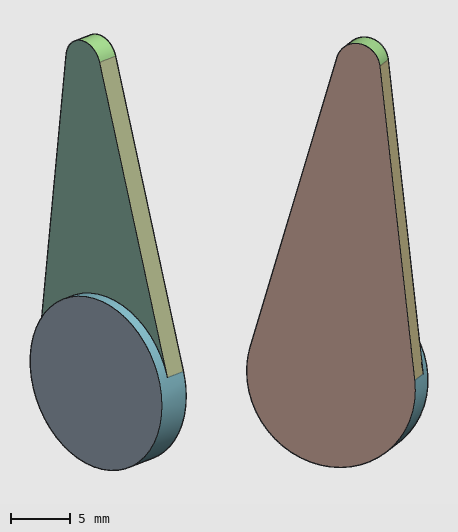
import cadquery as cq
import math

total_height = 37.48
total_thickness = 3.0
disc_diameter = 15.18
arm_thickness = 2.0
tip_radius = 2.0
tip_x = -2.45

disc_radius = disc_diameter / 2
tip_z = total_height - disc_radius - tip_radius

center_distance = math.hypot(tip_x, tip_z)
arm_angle = math.atan2(tip_z, tip_x)
tangent_offset = math.acos((disc_radius - tip_radius) / center_distance)
left_angle = arm_angle + tangent_offset
right_angle = arm_angle - tangent_offset


def point_on_circle(center_x, center_z, radius, angle):
    return (center_x + radius * math.cos(angle), center_z + radius * math.sin(angle))


def make_arm():
    """Tapered arm from the disc axis to a small round tip, with sides tangent to the disc."""
    return (
        cq.Workplane("XZ")
        .moveTo(*point_on_circle(0, 0, disc_radius, left_angle))
        .lineTo(*point_on_circle(tip_x, tip_z, tip_radius, left_angle))
        .threePointArc(
            point_on_circle(tip_x, tip_z, tip_radius, arm_angle),
            point_on_circle(tip_x, tip_z, tip_radius, right_angle),
        )
        .lineTo(*point_on_circle(0, 0, disc_radius, right_angle))
        .lineTo(0, 0)
        .close()
        .extrude(arm_thickness)
    )


def make_disc():
    """Full-thickness round hub, standing proud of the arm on -Y."""
    return cq.Workplane("XZ").circle(disc_radius).extrude(total_thickness)


result = make_arm().union(make_disc())